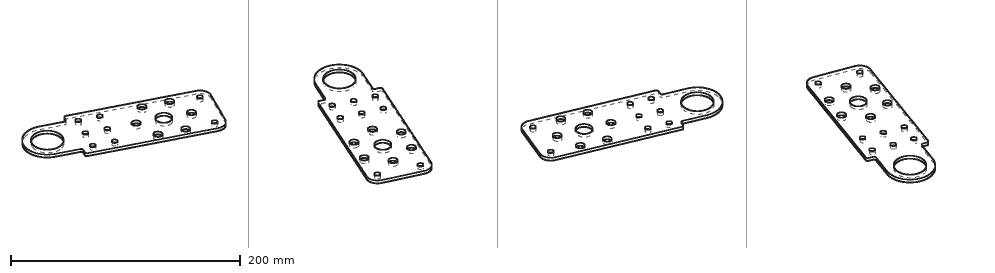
import cadquery as cq
import math

length = 179.0
width = 60.0
thickness = 3.2
tab_radius = 22.0
tab_hole_diameter = 28.6
shoulder_y = 25.0
top_corner_radius = 10.0
shoulder_corner_radius = 2.0
shoulder_inner_radius = 2.0

small_hole_diameter = 5.2
small_hole_pitch = 20.0
first_row_y = 35.0
top_hole_inset = 10.0
ring_center_y = 107.0
ring_radius = 25.5
ring_hole_count = 6
ring_hole_diameter = 8.0
ring_center_diameter = 15.0

top_y = length - tab_radius
half_width = width / 2


def make_plate():
    """Flat plate with rounded corners, narrowing to a round-ended tab."""
    body = (
        cq.Workplane("XY")
        .moveTo(-half_width, top_y)
        .lineTo(-half_width, shoulder_y)
        .lineTo(-tab_radius, shoulder_y)
        .lineTo(-tab_radius, 0)
        .threePointArc((0, -tab_radius), (tab_radius, 0))
        .lineTo(tab_radius, shoulder_y)
        .lineTo(half_width, shoulder_y)
        .lineTo(half_width, top_y)
        .close()
        .extrude(thickness)
    )
    for corner_x, corner_y, radius in (
        (half_width, top_y, top_corner_radius),
        (half_width, shoulder_y, shoulder_corner_radius),
        (tab_radius, shoulder_y, shoulder_inner_radius),
    ):
        for x in (-corner_x, corner_x):
            corner_edge = cq.NearestToPointSelector((x, corner_y, thickness / 2))
            body = body.edges("|Z").edges(corner_edge).fillet(radius)
    return body


def drill(body, points, diameter):
    """Cut through holes at the given points."""
    cutters = cq.Workplane("XY").pushPoints(points).circle(diameter / 2).extrude(thickness)
    return body.cut(cutters)


small_holes = [
    (column * small_hole_pitch, first_row_y + row * small_hole_pitch)
    for row in range(2)
    for column in (-1, 0, 1)
]
small_holes += [(side * small_hole_pitch, top_y - top_hole_inset) for side in (-1, 1)]

ring_angles = [math.radians(90 + i * 360 / ring_hole_count) for i in range(ring_hole_count)]
ring_holes = [
    (ring_radius * math.cos(angle), ring_center_y + ring_radius * math.sin(angle))
    for angle in ring_angles
]

result = make_plate()
result = drill(result, [(0, 0)], tab_hole_diameter)
result = drill(result, small_holes, small_hole_diameter)
result = drill(result, ring_holes, ring_hole_diameter)
result = drill(result, [(0, ring_center_y)], ring_center_diameter)